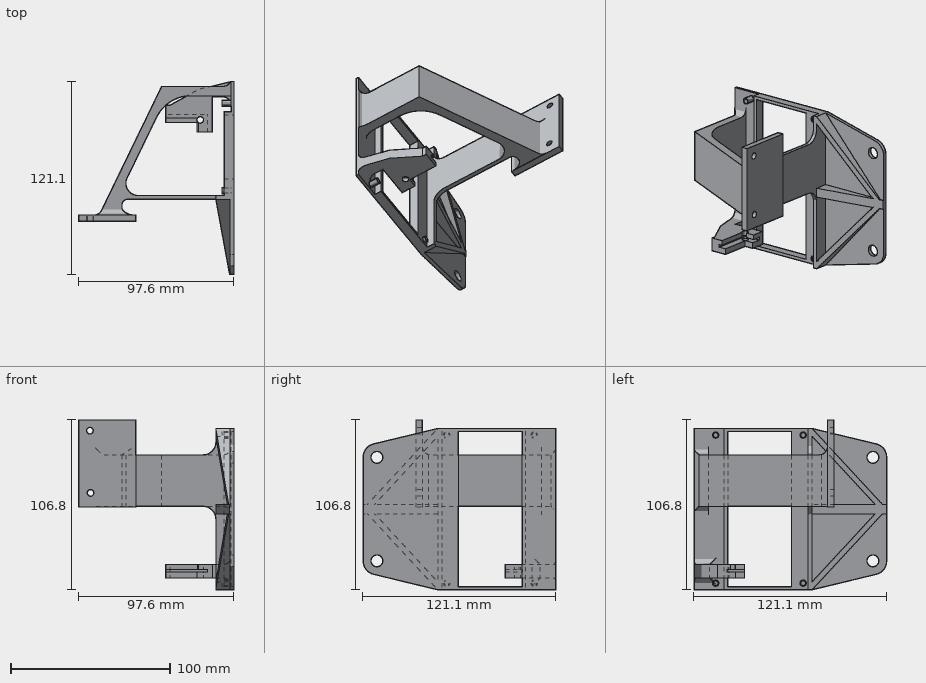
import cadquery as cq
import math


TOTAL_LENGTH = 121.1
BASE_HEIGHT = 101.5
MID_HEIGHT = BASE_HEIGHT / 2
PLATE_THICKNESS = 1.8
PLATE_END_Y = 74.1
FRAME_THICKNESS = 6.3
FRAME_END_Y = 55.2
WINDOW_START_Y = 13.0
WINDOW_END_Y = 52.9
WINDOW_MARGIN = 2.0
FLANGE_THICKNESS = 2.5
FLANGE_LENGTH = TOTAL_LENGTH - PLATE_END_Y
FLANGE_END_HEIGHT = 78.8
FLANGE_CORNER_RADIUS = 8.7
FLANGE_HOLE_DIAMETER = 7.3
FLANGE_HOLE_Y = -38.3
FLANGE_HOLE_SPACING = 65.0

WALL_THICKNESS = 2.5
WALL_REACH = 11.5
WALL_FILLET = 8.0
RIB_TIP_REACH = 2.9
CENTRE_RIB_WIDTH = 5.9
DIAGONAL_RIB_WIDTH = 5.0

PIN_DIAMETER = 4.0
PIN_BORE_DIAMETER = 3.0
PIN_TIP_X = -7.7
PIN_YS = (5.6, 60.5)
PIN_MARGIN = 4.2

ROOT_RADIUS = 5.0

ARM_BOTTOM = 52.4
ARM_TOP = 84.9
ARM_THICKNESS = 5.9
ARM_SLANT_THICKNESS = 5.7
ARM_OUTER_Y = 71.1
ARM_CORNER_X = -45.5
ARM_SLOPE = 0.485
ARM_BEND_RADIUS = 24.0
ARM_ELBOW_RADIUS = 7.6
NECK_X = -70.3
NECK_RADIUS = 3.4
NECK_FLARE_WIDTH = 7.0
NECK_FLARE_HEIGHT = 3.8

MOUNT_LEFT_X = -97.6
MOUNT_WIDTH = 36.0
MOUNT_BACK_Y = -9.7
MOUNT_THICKNESS = 4.1
MOUNT_TOP = 106.8
MOUNT_HEIGHT = 54.7
MOUNT_HOLE_DIAMETER = 4.0
MOUNT_HOLES = ((-90.6, 100.0), (-90.2, 60.9))

HOOK_BOTTOM = 7.4
HOOK_TOP = 16.0
HOOK_INNER_Y = 64.3
HOOK_OUTLINE = (
    (0, HOOK_INNER_Y),
    (-13.7, HOOK_INNER_Y),
    (-13.7, 42.3),
    (-23.4, 42.3),
    (-23.4, 48.2),
    (-43.0, 48.2),
    (-43.0, 59.2),
    (-40.3, 59.2),
    (-22.0, 69.3),
    (-PLATE_THICKNESS, PLATE_END_Y),
    (0, PLATE_END_Y),
)
SLOT_BOTTOM = 11.1
SLOT_TOP = 13.0
SLOT_END_X = -16.7
SLOT_FLOOR_Y = 53.3
STEP_X = -22.3
STEP_Y = 51.1
HOOK_HOLE_DIAMETER = 4.0
HOOK_HOLE = (-21.3, 50.0)


def block(x_range, y_range, z_range):
    """Box spanning the given coordinate ranges."""
    size = [end - start for start, end in (x_range, y_range, z_range)]
    return cq.Workplane().box(*size, centered=False).translate((x_range[0], y_range[0], z_range[0]))


def prism_z(points, bottom, top):
    """Polygon in X and Y, extruded from bottom to top."""
    return cq.Workplane(origin=(0, 0, bottom)).polyline(points).close().extrude(top - bottom)


def cylinder_x(diameter, y, z, x_start, x_end):
    """Round bar along X."""
    return cq.Workplane("YZ", origin=(x_start, y, z)).circle(diameter / 2).extrude(x_end - x_start)


def make_base():
    plate = block((-PLATE_THICKNESS, 0), (0, PLATE_END_Y), (0, BASE_HEIGHT))
    frame = block((-FRAME_THICKNESS, 0), (0, FRAME_END_Y), (0, BASE_HEIGHT))
    window = block(
        (-FRAME_THICKNESS, 0),
        (WINDOW_START_Y, WINDOW_END_Y),
        (WINDOW_MARGIN, BASE_HEIGHT - WINDOW_MARGIN),
    )
    half_end = FLANGE_END_HEIGHT / 2
    flange = (
        cq.Workplane("YZ")
        .moveTo(0, 0)
        .lineTo(-FLANGE_LENGTH, MID_HEIGHT - half_end)
        .lineTo(-FLANGE_LENGTH, MID_HEIGHT + half_end)
        .lineTo(0, BASE_HEIGHT)
        .close()
        .extrude(-FLANGE_THICKNESS)
        .edges("|X and <Y")
        .fillet(FLANGE_CORNER_RADIUS)
    )
    for side in (-1, 1):
        hole_z = MID_HEIGHT + side * FLANGE_HOLE_SPACING / 2
        flange = flange.cut(cylinder_x(FLANGE_HOLE_DIAMETER, FLANGE_HOLE_Y, hole_z, -FLANGE_THICKNESS, 0))
    return plate.union(frame).cut(window).union(flange)


def make_wall():
    """Upright strip along the base with a rounded transition into the arm's band."""
    strip = block((-WALL_REACH, 0), (0, WALL_THICKNESS), (0, BASE_HEIGHT))
    for edge_z, outward in ((ARM_BOTTOM, -1), (ARM_TOP, 1)):
        corner = (
            cq.Workplane("XZ", origin=(-WALL_REACH, 0, edge_z))
            .lineTo(-WALL_FILLET, 0)
            .radiusArc((0, outward * WALL_FILLET), -outward * WALL_FILLET)
            .close()
            .extrude(-WALL_THICKNESS)
        )
        strip = strip.union(corner)
    return strip


def make_ribs():
    """Centre rib and two diagonals that taper together towards the flange end."""
    taper = prism_z(
        ((0, 0), (-WALL_REACH, 0), (-RIB_TIP_REACH, -FLANGE_LENGTH), (0, -FLANGE_LENGTH)), 0, BASE_HEIGHT
    )
    half_width = CENTRE_RIB_WIDTH / 2
    ribs = block((-WALL_REACH, 0), (-FLANGE_LENGTH, 0), (MID_HEIGHT - half_width, MID_HEIGHT + half_width))
    inner_end_y = -FLANGE_LENGTH * (1 - DIAGONAL_RIB_WIDTH / MID_HEIGHT)
    upper = (
        cq.Workplane("YZ")
        .polyline((
            (0, BASE_HEIGHT),
            (-FLANGE_LENGTH, MID_HEIGHT),
            (inner_end_y, MID_HEIGHT),
            (0, BASE_HEIGHT - DIAGONAL_RIB_WIDTH),
        ))
        .close()
        .extrude(-WALL_REACH)
    )
    lower = upper.mirror("XY", (0, 0, MID_HEIGHT))
    return ribs.union(upper).union(lower).intersect(taper)


def pin_bars(diameter):
    """Four bars of the given diameter at the pin places, from the pin tips to the plate's face."""
    bars = cq.Workplane()
    for y in PIN_YS:
        for z in (PIN_MARGIN, BASE_HEIGHT - PIN_MARGIN):
            bars = bars.union(cylinder_x(diameter, y, z, PIN_TIP_X, -PLATE_THICKNESS))
    return bars


def flare(plane, start, end, depth, flare_start=True, flare_end=True):
    """Bar ending on the base plate, its chosen sides spreading in concave quarter rounds.

    The section runs from start to end along the plane's second axis and is extruded over depth.
    """
    foot = -PLATE_THICKNESS
    neck = foot - ROOT_RADIUS
    foot_start = start - ROOT_RADIUS if flare_start else start
    foot_end = end + ROOT_RADIUS if flare_end else end
    profile = cq.Workplane(plane).moveTo(neck, start)
    if flare_start:
        profile = profile.radiusArc((foot, foot_start), ROOT_RADIUS)
    else:
        profile = profile.lineTo(foot, foot_start)
    profile = profile.lineTo(foot, foot_end)
    if flare_end:
        profile = profile.radiusArc((neck, end), ROOT_RADIUS)
    else:
        profile = profile.lineTo(neck, end)
    return profile.close().extrude(depth, both=True)


def root_flare(y_range, z_range, flare_low_y, flare_high_y):
    """Mitred root fillet around a bar that meets the base plate."""
    reach = PLATE_END_Y + BASE_HEIGHT
    across_z = flare("XZ", *z_range, reach)
    across_y = flare("XY", *y_range, reach, flare_low_y, flare_high_y)
    edge_limit = block((-WALL_REACH, 0), (0, PLATE_END_Y), (0, BASE_HEIGHT))
    return across_z.intersect(across_y).intersect(edge_limit)


def slope_x(y):
    """X of the arm's slanted outer face at the given Y."""
    return ARM_CORNER_X - ARM_SLOPE * (ARM_OUTER_Y - y)


def make_arm():
    inner_shift = ARM_SLANT_THICKNESS * math.hypot(1, ARM_SLOPE)
    inner_y = ARM_OUTER_Y - ARM_THICKNESS
    bend_x = slope_x(inner_y) + inner_shift
    elbow_x = slope_x(WALL_THICKNESS) + inner_shift
    outside = prism_z(
        ((0, 0), (0, ARM_OUTER_Y), (ARM_CORNER_X, ARM_OUTER_Y), (slope_x(0), 0)), ARM_BOTTOM, ARM_TOP
    )
    opening = prism_z(
        ((0, WALL_THICKNESS), (0, inner_y), (bend_x, inner_y), (elbow_x, WALL_THICKNESS)), ARM_BOTTOM, ARM_TOP
    )
    opening = opening.edges("|Z and <X").fillet(ARM_ELBOW_RADIUS)
    bend = cq.selectors.NearestToPointSelector((bend_x, inner_y, (ARM_BOTTOM + ARM_TOP) / 2))
    opening = opening.edges(bend).fillet(ARM_BEND_RADIUS)
    root = root_flare((inner_y, ARM_OUTER_Y), (ARM_BOTTOM, ARM_TOP), False, True)
    return outside.cut(opening).union(root)


def make_neck():
    """Short stem from the arm's elbow to the mounting plate, spreading at its foot."""
    foot_x = slope_x(MOUNT_BACK_Y)
    slope_angle = math.atan2(1, ARM_SLOPE)
    tangent = ROOT_RADIUS * math.tan(slope_angle / 2)
    tangent_y = MOUNT_BACK_Y + tangent * math.sin(slope_angle)
    sweep_radius = (NECK_FLARE_WIDTH**2 + NECK_FLARE_HEIGHT**2) / (2 * NECK_FLARE_HEIGHT)
    section = (
        cq.Workplane(origin=(0, 0, ARM_BOTTOM))
        .moveTo(slope_x(0), 0)
        .lineTo(slope_x(tangent_y), tangent_y)
        .radiusArc((foot_x - tangent, MOUNT_BACK_Y), ROOT_RADIUS)
        .lineTo(NECK_X + NECK_FLARE_WIDTH, MOUNT_BACK_Y)
        .radiusArc((NECK_X, MOUNT_BACK_Y + NECK_FLARE_HEIGHT), sweep_radius)
        .lineTo(NECK_X, -NECK_RADIUS)
        .radiusArc((NECK_X + NECK_RADIUS, 0), NECK_RADIUS)
        .close()
        .extrude(ARM_TOP - ARM_BOTTOM + ROOT_RADIUS)
    )
    height_limit = (
        cq.Workplane("YZ", origin=(MOUNT_LEFT_X, 0, 0))
        .moveTo(0, ARM_BOTTOM)
        .lineTo(0, ARM_TOP)
        .lineTo(MOUNT_BACK_Y + ROOT_RADIUS, ARM_TOP)
        .radiusArc((MOUNT_BACK_Y, ARM_TOP + ROOT_RADIUS), ROOT_RADIUS)
        .lineTo(MOUNT_BACK_Y, ARM_BOTTOM)
        .close()
        .extrude(-MOUNT_LEFT_X)
    )
    return section.intersect(height_limit)


def make_mount():
    return (
        block(
            (MOUNT_LEFT_X, MOUNT_LEFT_X + MOUNT_WIDTH),
            (MOUNT_BACK_Y - MOUNT_THICKNESS, MOUNT_BACK_Y),
            (MOUNT_TOP - MOUNT_HEIGHT, MOUNT_TOP),
        )
        .cut(
            cq.Workplane("XZ", origin=(0, MOUNT_BACK_Y, 0))
            .pushPoints(MOUNT_HOLES)
            .circle(MOUNT_HOLE_DIAMETER / 2)
            .extrude(MOUNT_THICKNESS)
        )
    )


def make_hook():
    left_x = min(x for x, y in HOOK_OUTLINE)
    front_y = min(y for x, y in HOOK_OUTLINE)
    body = prism_z(HOOK_OUTLINE, HOOK_BOTTOM, HOOK_TOP)
    slot = block((left_x, SLOT_END_X), (front_y, SLOT_FLOOR_Y), (SLOT_BOTTOM, SLOT_TOP))
    step = block((left_x, STEP_X), (front_y, STEP_Y), (SLOT_TOP, HOOK_TOP))
    hole = (
        cq.Workplane(origin=(*HOOK_HOLE, HOOK_BOTTOM))
        .circle(HOOK_HOLE_DIAMETER / 2)
        .extrude(HOOK_TOP - HOOK_BOTTOM)
    )
    return body.cut(slot).cut(step).cut(hole)


def make_hook_root():
    """Root fillet of the hook, trimmed along the hook's sloping outer side."""
    root = root_flare((HOOK_INNER_Y, PLATE_END_Y), (HOOK_BOTTOM, HOOK_TOP), True, False)
    shoulder, tip = HOOK_OUTLINE[-3:-1]
    beyond_slope = prism_z((shoulder, tip, (shoulder[0], tip[1])), 0, BASE_HEIGHT)
    return root.cut(beyond_slope)


result = make_base().union(pin_bars(PIN_DIAMETER)).cut(pin_bars(PIN_BORE_DIAMETER))
for piece in (
    make_wall(),
    make_ribs(),
    make_arm(),
    make_neck(),
    make_mount(),
    make_hook(),
    make_hook_root(),
):
    result = result.union(piece)